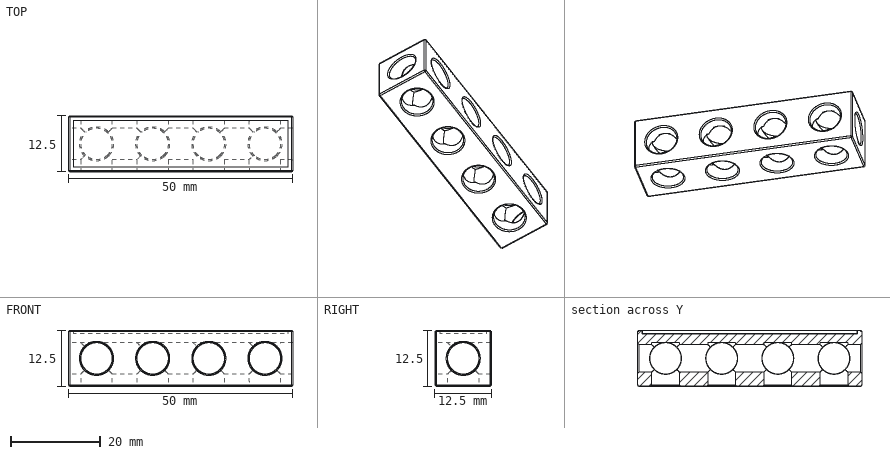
import cadquery as cq

unit = 12.5
unit_count = 4
length = unit * unit_count
edge_chamfer = 0.3

hole_diameter = 7.0
mouth_chamfer = 0.3

panel_rim = 1.1
panel_depth = 0.75

bottom_bore_top = hole_diameter / 2


def make_beam():
    return cq.Workplane("XY").box(length, unit, unit).edges().chamfer(edge_chamfer)


def make_bore(bore_length):
    """Cutter along Z, centred on the origin, that flares at both ends."""
    radius = hole_diameter / 2
    half_length = bore_length / 2
    profile = (
        cq.Workplane("XZ")
        .moveTo(0, -half_length)
        .lineTo(radius + mouth_chamfer, -half_length)
        .lineTo(radius, -half_length + mouth_chamfer)
        .lineTo(radius, half_length - mouth_chamfer)
        .lineTo(radius + mouth_chamfer, half_length)
        .lineTo(0, half_length)
        .close()
    )
    return profile.revolve(360, (0, 0, 0), (0, 1, 0))


def cut_lengthwise_bore(body):
    return body.cut(make_bore(length).rotate((0, 0, 0), (0, 1, 0), 90))


def cut_in_each_unit(body, cutter):
    for index in range(unit_count):
        center_x = (index - (unit_count - 1) / 2) * unit
        body = body.cut(cutter.translate((center_x, 0, 0)))
    return body


def cut_cross_bores(body):
    bore = make_bore(unit).rotate((0, 0, 0), (1, 0, 0), 90)
    return cut_in_each_unit(body, bore)


def cut_bottom_bores(body):
    above_bore = cq.Workplane("XY").workplane(offset=bottom_bore_top).rect(unit, unit).extrude(unit)
    return cut_in_each_unit(body, make_bore(unit).cut(above_bore))


def cut_top_panel(body):
    panel = (
        cq.Workplane("XY")
        .workplane(offset=unit / 2 - panel_depth)
        .rect(length - 2 * panel_rim, unit - 2 * panel_rim)
        .extrude(panel_depth)
    )
    return body.cut(panel)


result = make_beam()
result = cut_lengthwise_bore(result)
result = cut_cross_bores(result)
result = cut_bottom_bores(result)
result = cut_top_panel(result)